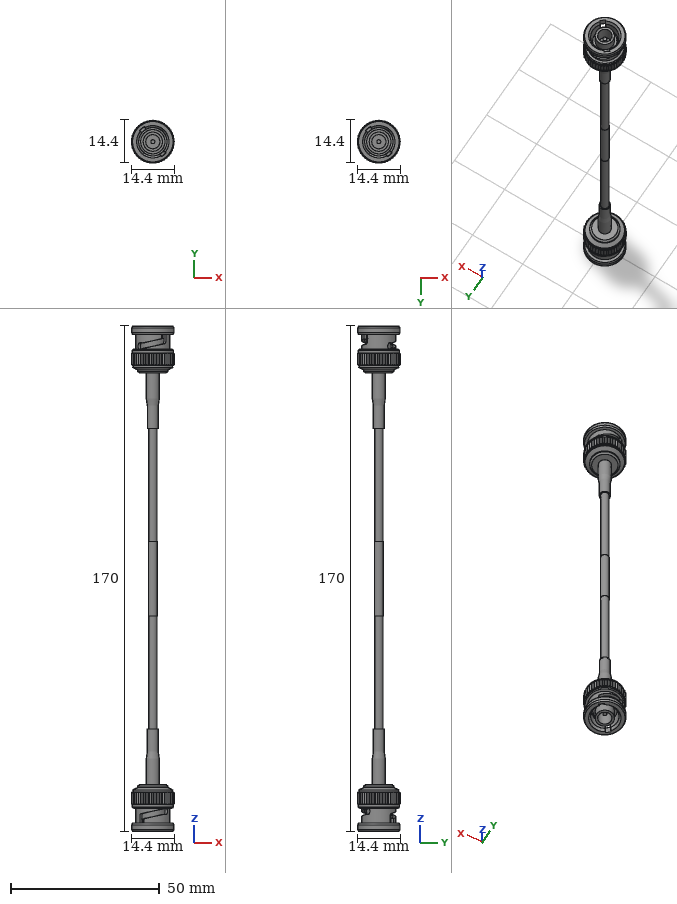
import cadquery as cq
import math

overall_length = 170.0
front_z = overall_length / 2

cable_radius = 1.45
middle_radius = 1.5
middle_length = 25.0

sleeve_radius = 2.2
sleeve_tip_radius = 1.9
taper_start_depth = 24.5
taper_end_depth = 26.9
sleeve_end_depth = 34.5

rim_radius = 7.1
rim_depth = 2.9
rim_chamfer = 0.3
rim_chamfer_length = 0.7
barrel_radius = 5.8
barrel_end_depth = 7.6

collar_radius = 7.0
collar_chamfer = 0.3
collar_front_depth = 7.8
knurl_radius = 7.22
knurl_root_radius = 6.8
knurl_start_depth = 9.0
knurl_end_depth = 13.3
knurl_chamfer = 0.3
tooth_count = 44

neck_radius = 6.6
rear_ring_radius = 6.8
rear_ring_depth = 14.0
rear_cone_radius = 5.1
rear_cone_depth = 14.8
rear_step_depth = 15.3
rear_face_radius = 4.5
plug_depth = 15.8

bore_mouth_radius = 5.5
bore_mouth_depth = 1.0
bore_radius = 4.8
bore_depth = 9.4
contact_radius = 3.2
shoulder_radius = 4.0
shoulder_depth = 4.2

contact_bore_radius = 2.4
contact_bore_depth = 6.8
pin_radius = 0.7
pin_front_depth = 2.5

slot_count = 2
slot_width = 1.9
slot_overcut = 0.3
seat_radius = 1.2
entry_angle = 310.0
ramp_turn = 87.0
ramp_start_depth = 5.1
ramp_end_depth = 6.8


def turned(points):
    """Solid turned about Z from (radius, depth) points."""
    outline = [(radius, front_z - depth) for radius, depth in points]
    return cq.Workplane("XZ").polyline(outline).close().revolve(360, (0, 0, 0), (0, 1, 0))


def about_z(shape, angle):
    """Copy of a shape turned about Z by an angle in degrees."""
    return shape.rotate((0, 0, 0), (0, 0, 1), angle)


def make_shell_blank():
    """Outside of the plug, without the knurl."""
    return turned(
        [
            (0, 0),
            (rim_radius - rim_chamfer, 0),
            (rim_radius, rim_chamfer_length),
            (rim_radius, rim_depth - rim_chamfer_length),
            (rim_radius - rim_chamfer, rim_depth),
            (barrel_radius, rim_depth),
            (barrel_radius, barrel_end_depth),
            (collar_radius - collar_chamfer, collar_front_depth),
            (collar_radius, collar_front_depth + collar_chamfer),
            (collar_radius, knurl_start_depth),
            (knurl_root_radius, knurl_start_depth),
            (knurl_root_radius, knurl_end_depth),
            (neck_radius, knurl_end_depth),
            (neck_radius, rear_ring_depth),
            (rear_ring_radius, rear_ring_depth),
            (rear_cone_radius, rear_cone_depth),
            (rear_cone_radius, rear_step_depth),
            (rear_face_radius, plug_depth),
            (0, plug_depth),
        ]
    )


def make_knurl():
    """Band of straight pointed teeth with both ends chamfered."""
    outline = []
    for step in range(2 * tooth_count):
        radius = knurl_radius if step % 2 == 0 else knurl_root_radius
        angle = math.pi * step / tooth_count
        outline.append((radius * math.cos(angle), radius * math.sin(angle)))
    teeth = (
        cq.Workplane("XY", origin=(0, 0, front_z - knurl_end_depth))
        .polyline(outline)
        .close()
        .extrude(knurl_end_depth - knurl_start_depth)
    )
    end_radius = knurl_radius - knurl_chamfer
    envelope = turned(
        [
            (0, knurl_start_depth),
            (end_radius, knurl_start_depth),
            (knurl_radius, knurl_start_depth + knurl_chamfer),
            (knurl_radius, knurl_end_depth - knurl_chamfer),
            (end_radius, knurl_end_depth),
            (0, knurl_end_depth),
        ]
    )
    return teeth.intersect(envelope)


def make_barrel_cavity():
    """Ring-shaped space around the contact tube, flared at the mouth and stepped at the shoulder."""
    return turned(
        [
            (contact_radius, 0),
            (bore_mouth_radius, 0),
            (bore_radius, bore_mouth_depth),
            (bore_radius, bore_depth),
            (shoulder_radius, bore_depth),
            (shoulder_radius, shoulder_depth),
            (contact_radius, shoulder_depth),
        ]
    )


def make_contact_cavity():
    """Space inside the contact tube, leaving the pin standing on its floor."""
    return turned(
        [
            (0, 0),
            (contact_bore_radius, 0),
            (contact_bore_radius, contact_bore_depth),
            (pin_radius, contact_bore_depth),
            (pin_radius, pin_front_depth),
            (0, pin_front_depth),
        ]
    )


def make_slot():
    """Cutter for one bayonet slot through the barrel wall; its entry stays hidden inside the rim."""
    wall_middle = (bore_radius + barrel_radius) / 2
    cut_length = barrel_radius - bore_radius + 2 * slot_overcut
    cut_start = bore_radius - slot_overcut
    entry_length = barrel_radius - cut_start
    seat_angle = entry_angle - ramp_turn

    def round_cut(radius, depth):
        return cq.Workplane("YZ", origin=(cut_start, 0, front_z - depth)).circle(radius).extrude(cut_length)

    entry = (
        cq.Workplane("XY", origin=(cut_start + entry_length / 2, 0, front_z - ramp_start_depth))
        .rect(entry_length, slot_width)
        .extrude(ramp_start_depth)
    )
    corner = round_cut(slot_width / 2, ramp_start_depth)

    ramp_rise = ramp_end_depth - ramp_start_depth
    helix = cq.Wire.makeHelix(ramp_rise * 360 / ramp_turn, ramp_rise, wall_middle)
    ramp = (
        cq.Workplane("XZ", origin=(wall_middle, 0, 0))
        .rect(cut_length, slot_width)
        .sweep(cq.Workplane(helix), isFrenet=True)
        .translate((0, 0, front_z - ramp_end_depth))
    )
    seat = round_cut(seat_radius, ramp_end_depth)

    entry_side = about_z(entry.union(corner), entry_angle)
    seat_side = about_z(ramp.union(seat), seat_angle)
    return entry_side.union(seat_side)


def make_plug():
    plug = make_shell_blank().union(make_knurl())
    plug = plug.cut(make_barrel_cavity()).cut(make_contact_cavity())
    slot = make_slot()
    for index in range(slot_count):
        plug = plug.cut(about_z(slot, index * 360 / slot_count))
    return plug


def make_sleeve():
    """Strain relief tube, fitted closely on the cable and tapering to a thinner tip."""
    return turned(
        [
            (cable_radius, plug_depth),
            (sleeve_radius, plug_depth),
            (sleeve_radius, taper_start_depth),
            (sleeve_tip_radius, taper_end_depth),
            (sleeve_tip_radius, sleeve_end_depth),
            (cable_radius, sleeve_end_depth),
        ]
    )


def make_cable_end():
    """Cable from the middle piece to the rear face of the plug."""
    start_z = middle_length / 2
    end_z = front_z - plug_depth
    return cq.Workplane("XY", origin=(0, 0, start_z)).circle(cable_radius).extrude(end_z - start_z)


def make_cable_middle():
    return cq.Workplane("XY", origin=(0, 0, -middle_length / 2)).circle(middle_radius).extrude(middle_length)


bodies = [make_cable_middle().val()]
for half_turn in (0, 180):
    for end_body in (make_plug(), make_sleeve(), make_cable_end()):
        bodies.append(end_body.rotate((0, 0, 0), (0, 1, 0), half_turn).val())

result = cq.Compound.makeCompound(bodies)